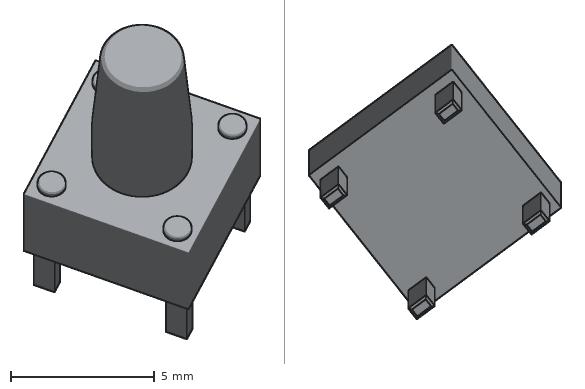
import cadquery as cq

body_width = 6.3
body_height = 3.4
body_edge_radius = 0.02
leg_length = 2.5
body_top = leg_length + body_height

overall_height = 11.9
collar_diameter = 3.5
collar_height = 2.0
cap_base_diameter = 3.5
cap_top_diameter = 2.92
cap_edge_radius = 0.24
cap_base = body_top + collar_height
cap_height = overall_height - cap_base

rivet_diameter = 1.0
rivet_height = 0.19
rivet_edge_radius = 0.1
rivet_pitch = 4.8

leg_width = 0.8
leg_thickness = 0.5
leg_pitch = 5.05
leg_tip_chamfer = 0.1


def make_body():
    block = cq.Workplane("XY").box(body_width, body_width, body_height, centered=(True, True, False))
    return block.edges("not <Z").fillet(body_edge_radius).translate((0, 0, leg_length))


def make_plunger():
    collar = cq.Workplane("XY", origin=(0, 0, body_top)).circle(collar_diameter / 2).extrude(collar_height)
    cap = (
        cq.Workplane("XY", origin=(0, 0, cap_base))
        .circle(cap_base_diameter / 2)
        .workplane(offset=cap_height)
        .circle(cap_top_diameter / 2)
        .loft(ruled=True)
        .faces(">Z")
        .edges()
        .fillet(cap_edge_radius)
    )
    return collar.union(cap)


def make_rivets():
    return (
        cq.Workplane("XY", origin=(0, 0, body_top))
        .rarray(rivet_pitch, rivet_pitch, 2, 2)
        .circle(rivet_diameter / 2)
        .extrude(rivet_height)
        .faces(">Z")
        .edges()
        .fillet(rivet_edge_radius)
    )


def make_legs():
    return (
        cq.Workplane("XY")
        .rarray(leg_pitch, leg_pitch, 2, 2)
        .rect(leg_width, leg_thickness)
        .extrude(leg_length)
        .faces("<Z")
        .edges()
        .chamfer(leg_tip_chamfer)
    )


result = make_body().union(make_plunger()).union(make_rivets()).union(make_legs())